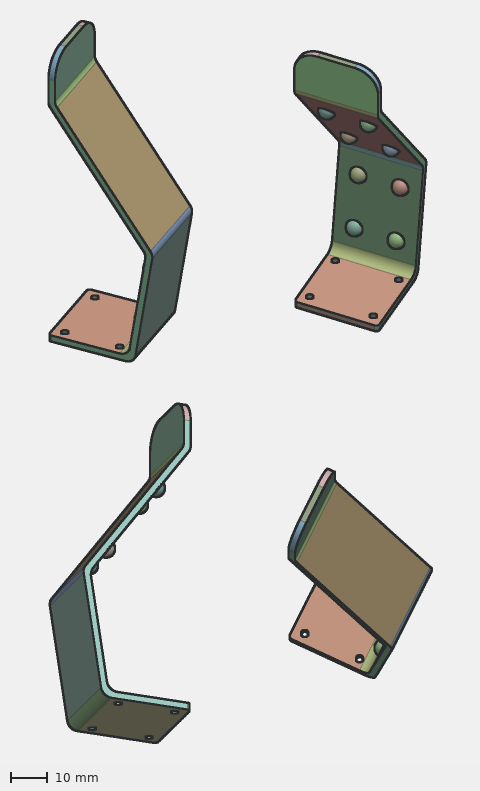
import cadquery as cq
import math

width = 25.0
height = 92.0
thickness = 2.0
base_face_length = 24.0
elbow_x = 29.3
elbow_z = 36.25
tab_bottom = 76.6

bend_radius = 3.0

tab_corner_radius = 7.0
base_corner_radius = 1.0

hole_diameter = 2.0
hole_columns = (3.5, 20.0)
hole_edge_distance = 3.0

dome_radius = 2.5
dome_sink = 0.3
dome_spacing_y = width / 2
lower_dome_heights = (10.7, 27.7)
upper_dome_heights = (46.3, 66.3)

face_points = [
    (0, thickness),
    (base_face_length, thickness),
    (elbow_x, elbow_z),
    (0, tab_bottom),
    (0, height),
]


def direction(start, end):
    """Angle of the line from start to end in the XZ plane."""
    return math.atan2(end[1] - start[1], end[0] - start[0])


def across_corner(before, corner, after):
    """Corner on the opposite side of the sheet, one thickness from both faces."""
    angle_in = direction(before, corner)
    angle_out = direction(corner, after)
    middle = (angle_in + angle_out) / 2
    reach = thickness / math.cos((angle_out - angle_in) / 2)
    return (corner[0] + reach * math.sin(middle), corner[1] - reach * math.cos(middle))


def bent_strip():
    """Constant-thickness strip with equal bend radii, centred on Y = 0."""
    inner_corners = face_points[1:-1]
    outer_corners = [across_corner(*face_points[i:i + 3]) for i in range(len(inner_corners))]
    back_points = [(0, 0)] + outer_corners + [(thickness, height)]
    strip = (
        cq.Workplane("XZ")
        .polyline(face_points + back_points[::-1])
        .close()
        .extrude(width / 2, both=True)
    )
    for x, z in inner_corners + outer_corners:
        corner_edge = cq.selectors.NearestToPointSelector((x, 0, z))
        strip = strip.edges(corner_edge).fillet(bend_radius)
    return strip


def domes(start, end, heights):
    """Hemispheres set slightly into the left-hand face between two sharp corners."""
    run = end[0] - start[0]
    rise = end[1] - start[1]
    outward = cq.Vector(-rise, 0, run).normalized()
    hemispheres = []
    for z in heights:
        x = start[0] + run * (z - start[1]) / rise
        for y in (-dome_spacing_y / 2, dome_spacing_y / 2):
            centre = cq.Vector(x, y, z) - outward * dome_sink
            hemispheres.append(cq.Solid.makeSphere(dome_radius, centre, outward, 0, 90, 360))
    return hemispheres


result = bent_strip()

result = result.edges("|X and >Z").edges("<Y or >Y").fillet(tab_corner_radius)
base_front = cq.selectors.BoxSelector((-0.9, -width, -0.9), (0.9, width, thickness + 0.9))
result = result.edges("|Z").edges(base_front).fillet(base_corner_radius)

hole_y = width / 2 - hole_edge_distance
hole_centres = [(x, y) for x in hole_columns for y in (-hole_y, hole_y)]
holes = cq.Workplane("XY").pushPoints(hole_centres).circle(hole_diameter / 2).extrude(2 * thickness)
result = result.cut(holes)

base_corner, elbow, tab_corner = face_points[1:-1]
all_domes = domes(base_corner, elbow, lower_dome_heights) + domes(elbow, tab_corner, upper_dome_heights)
for dome in all_domes:
    result = result.union(cq.Workplane(dome))